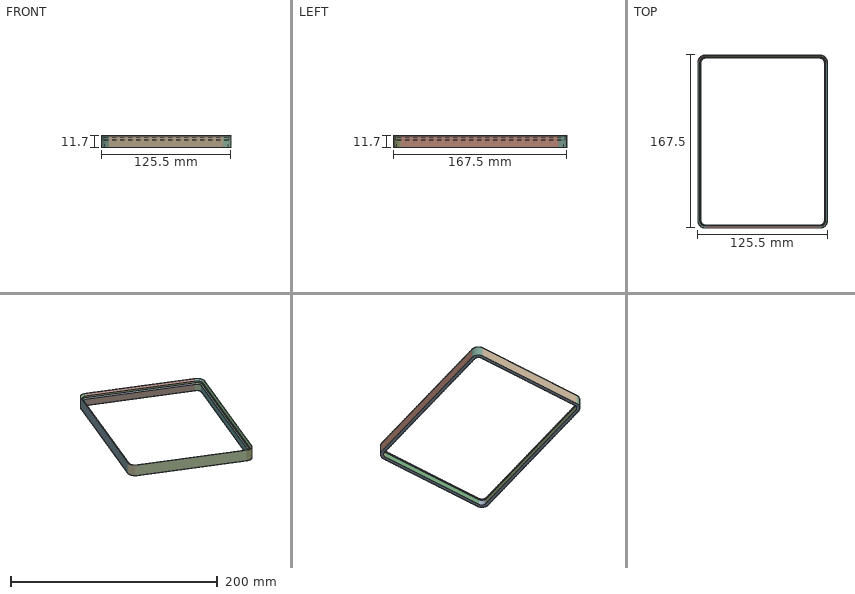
import cadquery as cq
import math

FRAME_WIDTH = 125.5
FRAME_LENGTH = 167.5
FRAME_HEIGHT = 11.7
CORNER_RADIUS = 7.5

UPPER_BAND_WIDTH = 1.9
LOWER_BAND_WIDTH = 1.2
STEP_HEIGHT = 1.8
BAND_SLOPE_ANGLE = 45.0

WALL_THICKNESS = UPPER_BAND_WIDTH + LOWER_BAND_WIDTH
BAND_FALL_RATE = math.tan(math.radians(BAND_SLOPE_ANGLE))
UPPER_BAND_FALL = UPPER_BAND_WIDTH * BAND_FALL_RATE
LOWER_BAND_FALL = LOWER_BAND_WIDTH * BAND_FALL_RATE

STEP_TOP_Z = FRAME_HEIGHT - UPPER_BAND_FALL
STEP_BOTTOM_Z = STEP_TOP_Z - STEP_HEIGHT


def inset_outline(inset, z):
    """Rounded rectangle lying a given distance inside the outer wall, at height z."""
    return (
        cq.Sketch()
        .rect(FRAME_WIDTH - 2 * inset, FRAME_LENGTH - 2 * inset)
        .vertices()
        .fillet(CORNER_RADIUS - inset)
        .moved(cq.Location(cq.Vector(0, 0, z)))
    )


def upright_block(inset, bottom_z, height):
    """Straight-sided block with the outline found at the given inset."""
    return cq.Workplane("XY").placeSketch(inset_outline(inset, bottom_z)).extrude(height)


def sloped_block(top_inset, top_z, width, fall):
    """Block that narrows downwards by one band width; its sides form a sloping band."""
    return (
        cq.Workplane("XY")
        .placeSketch(
            inset_outline(top_inset + width, top_z - fall),
            inset_outline(top_inset, top_z),
        )
        .loft()
    )


outer_block = upright_block(0, 0, FRAME_HEIGHT)
opening = upright_block(WALL_THICKNESS, 0, FRAME_HEIGHT)
upper_band = sloped_block(0, FRAME_HEIGHT, UPPER_BAND_WIDTH, UPPER_BAND_FALL)
step = upright_block(UPPER_BAND_WIDTH, STEP_BOTTOM_Z, STEP_HEIGHT)
lower_band = sloped_block(UPPER_BAND_WIDTH, STEP_BOTTOM_Z, LOWER_BAND_WIDTH, LOWER_BAND_FALL)

result = outer_block.cut(opening).cut(upper_band).cut(step).cut(lower_band)